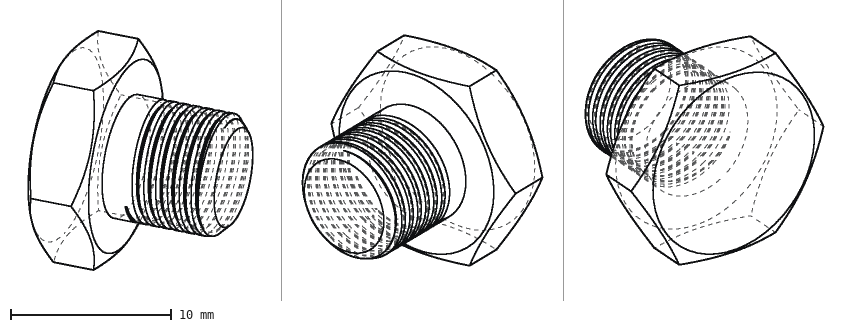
import cadquery as cq
import math

head_across_flats = 12.7
head_height = 4.06
head_face_diameter = 12.3
head_chamfer_angle = 30.0

overall_length = 11.29
shank_diameter = 7.85
tip_chamfer = 0.76

pitch = 25.4 / 32
groove_depth = 0.305
groove_root_width = pitch / 8
groove_half_angle = 30.0
groove_overshoot = 0.1
runout_start_angle = -159.0
runout_sweep_angle = 90.0
runout_seat_gap = 1.5

shank_radius = shank_diameter / 2
shank_length = overall_length - head_height
groove_root_radius = shank_radius - groove_depth
head_corner_radius = head_across_flats / math.sqrt(3)
thread_start_angle = runout_start_angle + runout_sweep_angle
runout_length = pitch * runout_sweep_angle / 360
runout_start_height = head_height + runout_seat_gap
thread_start_height = runout_start_height + runout_length
thread_turns = math.ceil((overall_length - thread_start_height) / pitch)
rod_length = shank_length + 2 * pitch


def make_head():
    """Hexagon along Z, two corners on local X, chamfered by a cone at both ends."""
    face_radius = head_face_diameter / 2
    chamfer_width = head_corner_radius - face_radius
    chamfer_height = chamfer_width * math.tan(math.radians(head_chamfer_angle))
    hexagon = cq.Workplane("XY").polygon(6, 2 * head_corner_radius).extrude(head_height)
    envelope = (
        cq.Workplane("XZ")
        .moveTo(0, 0)
        .lineTo(face_radius, 0)
        .lineTo(head_corner_radius, chamfer_height)
        .lineTo(head_corner_radius, head_height - chamfer_height)
        .lineTo(face_radius, head_height)
        .lineTo(0, head_height)
        .close()
        .revolve(360, (0, 0), (0, 1))
    )
    return hexagon.intersect(envelope)


def make_threaded_rod():
    """Rod on the head, longer than the shank so that the groove ends beyond the tip."""
    rod = (
        cq.Workplane("YZ")
        .moveTo(0, head_height)
        .rect(shank_radius, rod_length, centered=False)
        .revolve(360, (0, 0), (0, 1))
    )
    return rod.cut(make_thread_groove()).cut(make_runout_groove())


def make_shank():
    """Threaded rod trimmed to length with a 45 degree chamfer at its tip."""
    envelope = (
        cq.Workplane("YZ")
        .moveTo(0, head_height)
        .lineTo(shank_radius, head_height)
        .lineTo(shank_radius, overall_length - tip_chamfer)
        .lineTo(shank_radius - tip_chamfer, overall_length)
        .lineTo(0, overall_length)
        .close()
        .revolve(360, (0, 0), (0, 1))
    )
    return make_threaded_rod().intersect(envelope)


def sweep_groove(path, root_radius):
    """Sweep the groove profile, starting in the XZ plane at the given root radius."""
    half_root = groove_root_width / 2
    reach = groove_depth + groove_overshoot
    half_mouth = half_root + reach * math.tan(math.radians(groove_half_angle))
    profile = cq.Workplane("XZ").polyline(
        [
            (root_radius, -half_root),
            (root_radius + reach, -half_mouth),
            (root_radius + reach, half_mouth),
            (root_radius, half_root),
        ]
    ).close()
    return profile.sweep(cq.Workplane(path), isFrenet=True)


def place_groove(groove, start_angle, start_height):
    """Turn and lift a groove to where it starts on the shank."""
    return groove.rotate((0, 0, 0), (0, 0, 1), start_angle).translate((0, 0, start_height))


def make_thread_groove():
    """Full-depth groove that runs out through the tip of the shank."""
    helix = cq.Wire.makeHelix(pitch, thread_turns * pitch, groove_root_radius)
    groove = sweep_groove(helix, groove_root_radius)
    return place_groove(groove, thread_start_angle, thread_start_height)


def make_runout_groove():
    """Conical helix that deepens from the shank surface to the full groove depth."""
    taper = math.atan2(groove_depth, runout_length)
    slope_pitch = pitch / math.cos(taper)
    slope_length = runout_length / math.cos(taper)
    helix = cq.Wire.makeHelix(
        slope_pitch, slope_length, shank_radius, angle=-math.degrees(taper)
    )
    groove = sweep_groove(helix, shank_radius)
    return place_groove(groove, runout_start_angle, runout_start_height)


bolt = make_head().union(make_shank())
result = bolt.rotate((0, 0, 0), (1, 1, 1), 120)